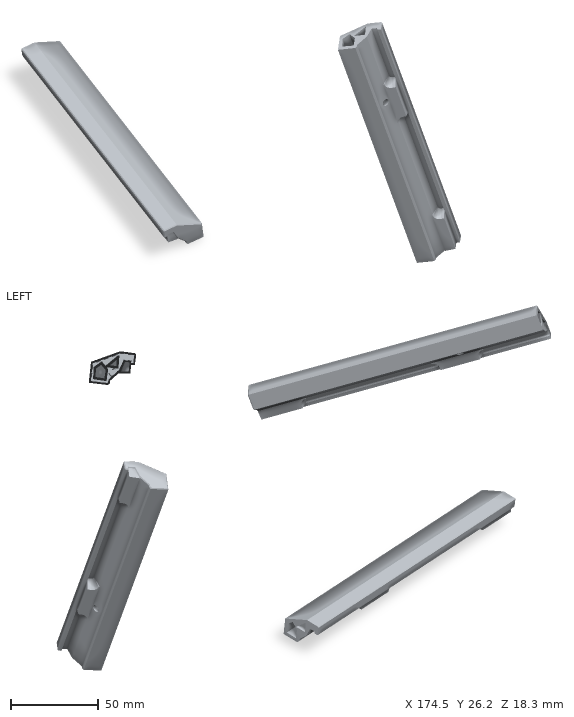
import cadquery as cq

LENGTH = 174.5
END_CHAMFER = 0.5

BAR_SECTION = [
    (0, 16.8),
    (0.5, 17.3),
    (8.5, 18.3),
    (25.0, 12.4),
    (26.2, 1.2),
    (15.9, 0),
    (15.0, 0.9),
    (14.8, 2.3),
    (9.0, 7.5),
    (6.3, 13.3),
    (3.0, 13.0),
    (2.8, 11.5),
    (0.7, 11.3),
]

POCKET_SECTIONS = [
    [(23.4, 9.5), (19.4, 12.4), (16.0, 8.4), (17.0, 2.3), (23.7, 3.3)],
    [(16.8, 10.1), (9.6, 16.0), (10.1, 9.5)],
]
POCKET_DEPTH = 34.9
POCKET_TAPER = 0.7

TAB_BOTTOM_Z = 6.6
TAB_TOP_Z = 13.5
TAB_FRONT_BOTTOM_Y = 3.3
TAB_FRONT_TOP_Y = 2.6
TAB_WALL_BOTTOM_Y = 9.0
TAB_WALL_TOP_Y = 6.3
FLARE_BOTTOM = 3.8
FLARE_TOP = 1.5
TAB_ROOT = 0.3
MIDDLE_TAB = (38.0, 69.5)
END_TAB_START = 145.2
TAB_END = LENGTH - END_CHAMFER
END_TAB_OVERRUN = 8.7

HOLE_DIAMETER = 4.4
HOLE_X = 51.0
HOLE_Y = 11.5
HOLE_DEPTH = 3.5


def extrude_section(points, length, taper=0):
    """Extrude a (Y, Z) section along +X from the -X end."""
    return cq.Workplane("YZ").polyline(points).close().extrude(length, taper=taper)


def tab_outline(sketch, start, end, front, wall, flare):
    """Draw a tab in plan, with concave round flares at the wall."""
    corner = flare * (1 - 0.5 ** 0.5)
    return (
        sketch.moveTo(start, wall)
        .threePointArc((start + flare - corner, wall - corner), (start + flare, wall - flare))
        .lineTo(start + flare, front)
        .lineTo(end - flare, front)
        .lineTo(end - flare, wall - flare)
        .threePointArc((end - flare + corner, wall - corner), (end, wall))
        .lineTo(end, wall + TAB_ROOT)
        .lineTo(start, wall + TAB_ROOT)
        .close()
    )


def make_tab(start, end):
    """Loft a tab between its bottom and top outlines."""
    bottom = cq.Workplane("XY").workplane(offset=TAB_BOTTOM_Z)
    bottom = tab_outline(bottom, start, end, TAB_FRONT_BOTTOM_Y, TAB_WALL_BOTTOM_Y, FLARE_BOTTOM)
    top = bottom.workplane(offset=TAB_TOP_Z - TAB_BOTTOM_Z)
    top = tab_outline(top, start, end, TAB_FRONT_TOP_Y, TAB_WALL_TOP_Y, FLARE_TOP)
    return top.loft(ruled=True, combine=True)


def make_hole():
    """Cylinder entering the sloping underside at right angles."""
    (low_y, low_z), (high_y, high_z) = BAR_SECTION[7:9]
    run = low_y - high_y
    rise = high_z - low_z
    entry_z = low_z + (low_y - HOLE_Y) * rise / run
    inward = cq.Vector(0, rise, run)
    entry = cq.Vector(HOLE_X, HOLE_Y, entry_z)
    clearance = 1.7
    base = entry - inward.normalized() * clearance
    return cq.Solid.makeCylinder(HOLE_DIAMETER / 2, HOLE_DEPTH + clearance, base, inward)


bar = extrude_section(BAR_SECTION, LENGTH).faces(">X").edges().chamfer(END_CHAMFER)
end_tab = make_tab(END_TAB_START, TAB_END + END_TAB_OVERRUN)
past_end = cq.Workplane("XY").box(2 * END_TAB_OVERRUN, LENGTH, LENGTH).translate(
    (TAB_END + END_TAB_OVERRUN, 0, 0)
)
bar = bar.union(make_tab(*MIDDLE_TAB)).union(end_tab.cut(past_end))

for section in POCKET_SECTIONS:
    bar = bar.cut(extrude_section(section, POCKET_DEPTH, POCKET_TAPER))

result = bar.cut(make_hole())